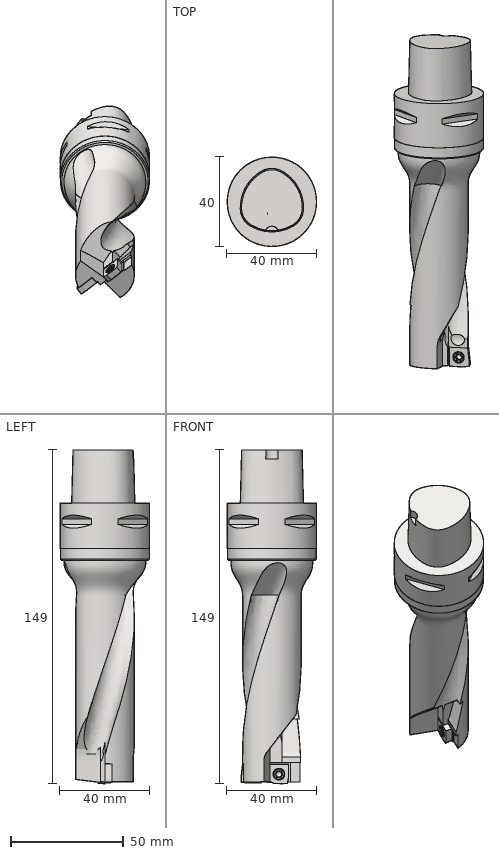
import cadquery as cq
import math

TOTAL_LENGTH = 149.0

SHANK_BASE_Z = 125.2
LOBE_RADIUS = 14.9
JOINT_RADIUS = 14.5
FLANK_RADIUS = 13.4
SHANK_TAPER = 0.6
LOBE_HALF_ANGLE = 18
KEY_NOTCH_RADIUS = 3.0
KEY_NOTCH_OFFSET = 13.9
KEY_NOTCH_DEPTH = 4.2

COLLAR_RADIUS = 20.0
COLLAR_STEP_Z = 104.9
LOWER_COLLAR_RADIUS = 39.8 / 2
COLLAR_BOTTOM_Z = 100.3
COLLAR_CHAMFER = 0.6
GROOVE_Z = 117.0
GROOVE_FLOOR = 35.3 / 2
GROOVE_FLOOR_HEIGHT = 2.4
GROOVE_MOUTH_HEIGHT = 5.8

NECK_RADIUS = 36.5 / 2
NECK_TOP_Z = 99.5
FLARE_TOP_Z = 98.3
FLARE_BOTTOM_Z = 83.9
FLARE_MIDDLE = (16.0, 91.6)
SHAFT_RADIUS = 13.1
SHAFT_BOTTOM_Z = 0.6

FLUTE_START_Z = 24.6
FLUTE_END_Z = 84.2
FLUTE_START_ANGLE = 165.5
FLUTE_TWIST = 89.2
FLUTE_FLOOR = 3.3
FLUTE_FLOOR_SHIFT = -0.3
FLUTE_WALL_FOOT = (7.5, 5.4)
FLUTE_WALL_RIM = (11.3, 6.4)
FLUTE_OUTER = 23.8
FLUTE_LEAN = 0.3
RUN_OUT_SLOPE = 0.9
RUN_OUT_LEAN = 0.7
RUN_OUT_LENGTH = 19.4
FLUTE_TAIL_LENGTH = 11.3
FLUTE_BALL_RADIUS = 6.5

CENTRAL_WALL_X = -3.6
CENTRAL_SEAT_X = -0.9
CENTRAL_RAMP = ((-2.1, 14.3), (15.2, 36.5))
CENTRAL_FLOOR = 3.1
PERIPHERAL_WALL_X = -2.1
PERIPHERAL_SEAT_X = -4.5
PERIPHERAL_RAMP = ((-2.7, 15.3), (-14.6, 37.2))
PERIPHERAL_STEP = 2.1
WALL_TOP_Z = 10.5
CLEARANCE_X = 8.2
CLEARANCE_DEPTH = 0.5
LEDGE_X = 4.5
LEDGE_RISE = 0.6
LEDGE_BOTTOM_Z = 9.5
LEDGE_TOP_Z = 12.0
LEDGE_END_Z = 13.9
CHIP_SLOPE_TOP = (6.5, 28.9)
OUTSIDE = 17.9
BELOW_TIP = -1.5

FRONT_END_Z = 0.9
REAR_END_RISE = 1.3

INSERT_THICKNESS = 3.1
INSERT_RELIEF = 4
CENTRAL_OUTLINE = [(-0.9, 0.9), (0.9, 0.1), (4.5, 0), (7.0, 0.1), (7.5, 2.4), (7.5, 8.8), (-0.9, 8.8)]
PERIPHERAL_OUTLINE = [(-13.9, 0.7), (-11.0, 0.3), (-4.8, 0.3), (-4.8, 9.1), (-13.1, 9.1), (-13.9, 2.4)]
CENTRAL_SCREW = (3.1, 4.3)
PERIPHERAL_SCREW = (-9.0, 4.6)
SCREW_MOUTH_RADIUS = 5.2 / 2
SCREW_HEAD_RADIUS = 2.2
SCREW_STEM_RADIUS = 3.1 / 2
SCREW_SINK = 0.5
SOCKET_RADIUS = 2.5 / 2
SOCKET_LOBE_RADIUS = 0.37
SOCKET_LOBES = 6
SOCKET_DEPTH = 1.2
SOCKET_POINT_DEPTH = 0.6


def polar(radius, degrees):
    angle = math.radians(degrees)
    return (radius * math.cos(angle), radius * math.sin(angle))


def turned(solid, degrees):
    """The solid turned about the tool axis."""
    return solid.rotate((0, 0, 0), (0, 0, 1), degrees)


def lobed_outline(workplane, inset):
    """Closed outline of three lobe arcs and three flank arcs."""
    outline = workplane.moveTo(*polar(JOINT_RADIUS - inset, 90 - LOBE_HALF_ANGLE))
    for lobe in (90, 210, 330):
        lobe_end = lobe + LOBE_HALF_ANGLE
        flank_end = lobe + 120 - LOBE_HALF_ANGLE
        outline = outline.threePointArc(
            polar(LOBE_RADIUS - inset, lobe), polar(JOINT_RADIUS - inset, lobe_end)
        )
        outline = outline.threePointArc(
            polar(FLANK_RADIUS - inset, lobe + 60), polar(JOINT_RADIUS - inset, flank_end)
        )
    return outline.close()


def make_shank():
    height = TOTAL_LENGTH - SHANK_BASE_Z
    base = lobed_outline(cq.Workplane("XY").workplane(offset=SHANK_BASE_Z), 0)
    shank = lobed_outline(base.workplane(offset=height), SHANK_TAPER).loft(ruled=True)
    notch = (
        cq.Workplane("XY").workplane(offset=TOTAL_LENGTH - KEY_NOTCH_DEPTH)
        .center(0, -KEY_NOTCH_OFFSET).circle(KEY_NOTCH_RADIUS).extrude(KEY_NOTCH_DEPTH)
    )
    return shank.cut(notch)


def make_turned_body():
    return (
        cq.Workplane("XZ")
        .moveTo(0, SHANK_BASE_Z)
        .lineTo(COLLAR_RADIUS, SHANK_BASE_Z)
        .lineTo(COLLAR_RADIUS, COLLAR_STEP_Z)
        .lineTo(LOWER_COLLAR_RADIUS, COLLAR_STEP_Z)
        .lineTo(LOWER_COLLAR_RADIUS, COLLAR_BOTTOM_Z)
        .lineTo(LOWER_COLLAR_RADIUS - COLLAR_CHAMFER, COLLAR_BOTTOM_Z - COLLAR_CHAMFER)
        .lineTo(NECK_RADIUS, NECK_TOP_Z)
        .lineTo(NECK_RADIUS, FLARE_TOP_Z)
        .spline(
            [FLARE_MIDDLE, (SHAFT_RADIUS, FLARE_BOTTOM_Z)],
            tangents=[(0, -1), (0, -1)],
            includeCurrent=True,
        )
        .lineTo(SHAFT_RADIUS, SHAFT_BOTTOM_Z)
        .lineTo(0, SHAFT_BOTTOM_Z)
        .close()
        .revolve(360, (0, 0, 0), (0, 1, 0))
    )


def make_gripper_groove():
    """Straight groove with sloping sides, across the +X side of the collar."""
    depth = COLLAR_RADIUS - GROOVE_FLOOR
    half_floor = GROOVE_FLOOR_HEIGHT / 2
    half_mouth = GROOVE_MOUTH_HEIGHT / 2
    return (
        cq.Workplane("XZ").center(GROOVE_FLOOR, GROOVE_Z)
        .moveTo(0, -half_floor)
        .lineTo(depth, -half_mouth)
        .lineTo(depth, half_mouth)
        .lineTo(0, half_floor)
        .close()
        .extrude(COLLAR_RADIUS, both=True)
    )


def flute_section(z):
    """Flute section at height z, opening toward +X: one straight wall and a round floor."""
    foot_x, foot_y = FLUTE_WALL_FOOT
    rim_x, rim_y = FLUTE_WALL_RIM
    outer_y = rim_y + (rim_y - foot_y) / (rim_x - foot_x) * (FLUTE_OUTER - rim_x)
    return (
        cq.Workplane("XY").workplane(offset=z)
        .moveTo(FLUTE_OUTER, outer_y)
        .lineTo(foot_x, foot_y)
        .threePointArc((FLUTE_FLOOR, FLUTE_FLOOR_SHIFT), (rim_x, -rim_y))
        .lineTo(FLUTE_OUTER, -rim_y)
        .close()
    )


def straight_flute(z, travel):
    """Flute section at height z, swept along a straight slanting line."""
    wire = flute_section(z).wires().val()
    return cq.Workplane(cq.Solid.extrudeLinear(wire, [], cq.Vector(*travel)))


def make_flute():
    """Helical flute, running out through the flare above and into the chip pocket below."""
    helix = flute_section(FLUTE_START_Z).twistExtrude(FLUTE_END_Z - FLUTE_START_Z, FLUTE_TWIST)
    run_out = straight_flute(
        FLUTE_END_Z,
        (RUN_OUT_LENGTH * RUN_OUT_SLOPE, RUN_OUT_LENGTH * RUN_OUT_LEAN, RUN_OUT_LENGTH),
    )
    tail_drift = -FLUTE_TAIL_LENGTH * FLUTE_LEAN
    tail = straight_flute(FLUTE_START_Z, (0, tail_drift, -FLUTE_TAIL_LENGTH))
    ball = cq.Workplane("XY").sphere(FLUTE_BALL_RADIUS).translate(
        (FLUTE_FLOOR + FLUTE_BALL_RADIUS, tail_drift, FLUTE_START_Z - FLUTE_TAIL_LENGTH)
    )
    parts = (helix, turned(run_out, FLUTE_TWIST), tail, ball)
    return [turned(part, FLUTE_START_ANGLE) for part in parts]


def under_ramp(wall_x, ramp, y_start, y_end):
    """Space beside an upright wall and under its ramp, between two Y positions."""
    (ramp_x, ramp_z), (top_x, top_z) = ramp
    middle = ((3 * wall_x + ramp_x) / 4, (WALL_TOP_Z + ramp_z) / 2)
    return (
        cq.Workplane("XZ").workplane(offset=-y_start)
        .moveTo(wall_x, BELOW_TIP)
        .lineTo(wall_x, WALL_TOP_Z)
        .threePointArc(middle, (ramp_x, ramp_z))
        .lineTo(top_x, top_z)
        .lineTo(top_x, BELOW_TIP)
        .close().extrude(y_start - y_end)
    )


def yz_prism(x_start, points):
    """Prism from x_start to beyond the +X side of the shaft."""
    return (
        cq.Workplane("YZ").workplane(offset=x_start)
        .polyline(points).close().extrude(OUTSIDE - x_start)
    )


def make_central_pocket():
    """Pocket on the +X side, in front of the central insert's face, with its wall slanting."""
    column = (
        cq.Workplane("XY").workplane(offset=BELOW_TIP)
        .polyline([
            (CENTRAL_SEAT_X, 0), (CENTRAL_WALL_X, -SHAFT_RADIUS), (CENTRAL_WALL_X, -OUTSIDE),
            (OUTSIDE, -OUTSIDE), (OUTSIDE, 0),
        ])
        .close().extrude(CENTRAL_RAMP[1][1] - BELOW_TIP)
    )
    return column.intersect(under_ramp(CENTRAL_WALL_X, CENTRAL_RAMP, -OUTSIDE, 0))


def make_central_floor():
    """Seat and clearance of the central insert, with a ledge and a sloping face above."""
    seat = yz_prism(CENTRAL_SEAT_X, [
        (0, BELOW_TIP), (CENTRAL_FLOOR, BELOW_TIP),
        (CENTRAL_FLOOR, LEDGE_BOTTOM_Z), (0, LEDGE_BOTTOM_Z),
    ])
    deep_floor = CENTRAL_FLOOR + CLEARANCE_DEPTH
    clearance = yz_prism(CLEARANCE_X, [
        (0, BELOW_TIP), (deep_floor, BELOW_TIP),
        (deep_floor, LEDGE_BOTTOM_Z), (0, LEDGE_BOTTOM_Z),
    ])
    shelf = CENTRAL_FLOOR - LEDGE_RISE
    above = yz_prism(LEDGE_X, [
        (0, LEDGE_BOTTOM_Z), (shelf, LEDGE_BOTTOM_Z), (shelf, LEDGE_TOP_Z),
        (CENTRAL_FLOOR, LEDGE_END_Z), CHIP_SLOPE_TOP, (0, CHIP_SLOPE_TOP[1]),
    ]).intersect(under_ramp(CENTRAL_WALL_X, CENTRAL_RAMP, 0, OUTSIDE))
    return [seat, clearance, above]


def make_peripheral_pocket():
    """Pocket on the -X side, over the peripheral insert's face, with a step beside the insert."""
    main = under_ramp(PERIPHERAL_WALL_X, PERIPHERAL_RAMP, PERIPHERAL_STEP, OUTSIDE)
    beyond_step = (
        cq.Workplane("XY").box(OUTSIDE, 2 * OUTSIDE, TOTAL_LENGTH)
        .translate((PERIPHERAL_SEAT_X - OUTSIDE / 2, 0, 0))
    )
    beside_step = under_ramp(PERIPHERAL_WALL_X, PERIPHERAL_RAMP, 0, PERIPHERAL_STEP)
    return [main, beside_step.intersect(beyond_step)]


def make_end_relief():
    """Trims the lower end: flat in front, rising toward the back behind the step."""
    return (
        cq.Workplane("YZ").workplane(offset=-OUTSIDE)
        .polyline([
            (-OUTSIDE, BELOW_TIP), (-OUTSIDE, FRONT_END_Z), (PERIPHERAL_STEP, FRONT_END_Z),
            (PERIPHERAL_STEP, SHAFT_BOTTOM_Z),
            (SHAFT_RADIUS, SHAFT_BOTTOM_Z + REAR_END_RISE), (SHAFT_RADIUS, BELOW_TIP),
        ])
        .close().extrude(2 * OUTSIDE)
    )


def make_insert_blank(outline, side):
    """Insert without its hole: the face lies on Y = 0 and the body narrows away from it."""
    blank = cq.Workplane("XZ").polyline(outline).close().extrude(-INSERT_THICKNESS, taper=INSERT_RELIEF)
    return blank if side > 0 else blank.mirror("XZ")


def placed(solid, centre, side):
    """Moves a solid built along +Y to a screw position."""
    facing = solid if side > 0 else solid.mirror("XZ")
    return facing.translate((centre[0], 0, centre[1]))


def turned_about_y(points):
    return cq.Workplane("XY").polyline(points).close().revolve(360, (0, 0, 0), (0, 1, 0))


def head_and_stem():
    """Half outline of the screw from the rim of its head down to the end of its stem."""
    head_depth = SCREW_HEAD_RADIUS - SCREW_STEM_RADIUS
    return [
        (SCREW_HEAD_RADIUS, SCREW_SINK),
        (SCREW_STEM_RADIUS, SCREW_SINK + head_depth),
        (SCREW_STEM_RADIUS, INSERT_THICKNESS),
        (0, INSERT_THICKNESS),
    ]


def make_screw(centre, side):
    """Screw head and stem that fill the insert's hole, with a six-lobed pointed socket."""
    socket_end = SCREW_SINK + SOCKET_DEPTH
    socket = cq.Workplane("XZ").circle(SOCKET_RADIUS).extrude(-socket_end)
    lobes = (
        cq.Workplane("XZ").polarArray(SOCKET_RADIUS, 0, 360, SOCKET_LOBES)
        .circle(SOCKET_LOBE_RADIUS).extrude(-socket_end)
    )
    point = cq.Workplane("XY").add(cq.Solid.makeCone(
        SOCKET_RADIUS, 0, SOCKET_POINT_DEPTH,
        pnt=cq.Vector(0, socket_end, 0), dir=cq.Vector(0, 1, 0),
    ))
    screw = turned_about_y([(0, SCREW_SINK), *head_and_stem()])
    return placed(screw.cut(socket).cut(lobes).cut(point), centre, side)


def make_screw_hole(centre, side):
    """Hole through an insert: a wide cone at the face, a seat for the head and a bore."""
    hole = turned_about_y([(0, 0), (SCREW_MOUTH_RADIUS, 0), *head_and_stem()])
    return placed(hole, centre, side)


def make_insert(outline, centre, side):
    return make_insert_blank(outline, side).cut(make_screw_hole(centre, side))


INSERTS = [
    (CENTRAL_OUTLINE, CENTRAL_SCREW, 1),
    (PERIPHERAL_OUTLINE, PERIPHERAL_SCREW, -1),
]


def make_holder():
    """Shank, collar and fluted shaft in one piece with the two screw heads."""
    holder = make_turned_body()
    groove = make_gripper_groove()
    for turn in (45, 135, 225, 315):
        holder = holder.cut(turned(groove, turn))
    for turn in (0, 180):
        for cutter in make_flute():
            holder = holder.cut(turned(cutter, turn))
    for cutter in (make_central_pocket(), *make_central_floor(), *make_peripheral_pocket()):
        holder = holder.cut(cutter)
    holder = holder.cut(make_end_relief())
    for outline, centre, side in INSERTS:
        holder = holder.cut(make_insert_blank(outline, side))
        holder = holder.union(make_screw(centre, side))
    return holder.union(make_shank())


holder = make_holder()
inserts = [make_insert(*insert) for insert in INSERTS]
result = cq.Compound.makeCompound([*holder.vals(), *[insert.val() for insert in inserts]])